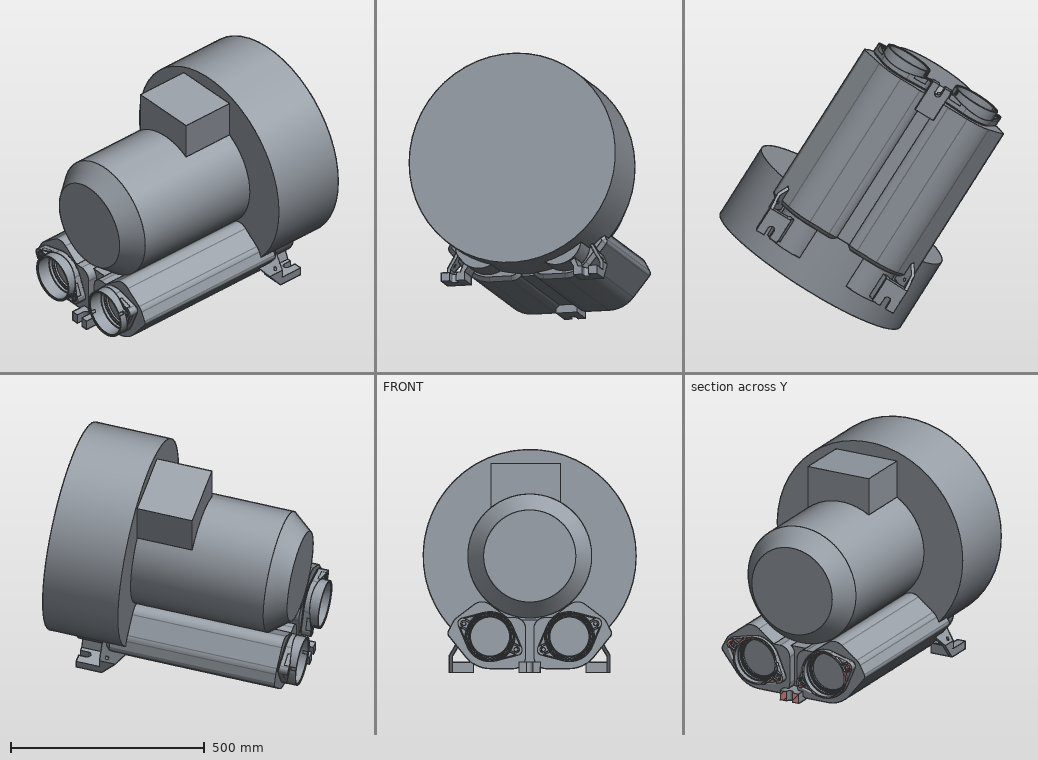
import cadquery as cq
import math


DRUM_RADIUS = 275.0
DRUM_BACK = 203.0

MOTOR_RADIUS = 160.0
MOTOR_CONE_LENGTH = 52.0
MOTOR_END_RADIUS = 119.0
MOTOR_FRONT = -409.0

BOX_LEFT = -100.0
BOX_RIGHT = 80.0
BOX_BOTTOM = 125.0
BOX_TOP = 238.5
BOX_FRONT = -148.0

HOUSING_FRONT = -402.0
HOUSING_BACK = 53.5
HOUSING_BACK_CHAMFER = 11.0
HOUSING_BOTTOM = -291.0
HOUSING_INNER_X = 10.8
PORT_X = 102.5
PORT_Z = -208.0
HOUSING_BASE_RADIUS = PORT_Z - HOUSING_BOTTOM
HOUSING_FLANK_ANGLE = 51.2
HOUSING_SIDE_CORNER = (213.5, -200.5)
HOUSING_SIDE_RADIUS = 11.5
HOUSING_SHOULDER = (194.0, -163.5)
HOUSING_SHOULDER_RADIUS = 36.0
HOUSING_CREST = (123.0, -109.5)
HOUSING_CREST_RADIUS = 34.0
HOUSING_INNER_TOP = -159.0
HOUSING_INNER_BASE_RADIUS = 32.0
HOUSING_INNER_TOP_RADIUS = 28.0
SADDLE_RADIUS = 161.0

WEB_FRONT = -376.0
WEB_BACK = HOUSING_BACK - HOUSING_BACK_CHAMFER
WEB_TOP = -165.0
WEB_BOTTOM = -280.0

STUB_RADIUS = 66.0
STUB_BACK = 142.0

FLANGE_BACK = -405.0
LUG_FRONT = -430.5
FLANGE_WAIST_FRONT = -418.0
FLANGE_SCOOP_HALF_WIDTH = 76.0
FLANGE_RADIUS = 64.5
FLANGE_ANGLE = 26.4
LUG_OFFSET = 77.0
LUG_RADIUS = 14.0
LUG_SLOT_WIDTH = 17.0
LUG_SLOT_INNER = 60.0
BOLT_DIAMETER = 10.0
BOLT_OFFSET = 75.0
FLANGE_WALL = 2.5
FLANGE_POCKET_DEPTH = 14.0
NECK_INSET = 4.0

PIPE_RADIUS = 63.7
PIPE_FRONT = -445.3
BORE_STEPS = ((59.0, -408.0), (56.0, -400.0), (53.0, -396.0), (50.5, -390.0))
BORE_LIP_CHAMFER = 1.8
KEYWAY_WIDTH = 8.0
KEYWAY_DEPTH = 2.5

FLOOR_Z = -300.83
FRONT_FOOT_TOP = -274.0
FRONT_FOOT_WIDTH = 55.5
FRONT_FOOT_FRONT = -442.5
FRONT_FOOT_BACK = -354.5
FOOT_SLOT_WIDTH = 17.0
FOOT_SLOT_LENGTH = 30.0
REAR_PAD_INNER_X = 145.0
REAR_PAD_OUTER_X = 207.7
REAR_PAD_BACK = 132.5
REAR_PAD_FRONT = 63.5
REAR_PAD_TOP = -279.0
BRACKET_BACK = 70.0
BRACKET_THICKNESS = 8.4
BRACKET_BEND_Z = -257.0
BRACKET_TOP_Z = -209.0
BRACKET_TILT = 30.0
BRACKET_EDGE_SLOPE = 0.83
BRACKET_HOLE_DIAMETER = 8.0
BRACKET_HOLE_Y = 51.0
BRACKET_HOLE_Z = -246.6
GUSSET_FOOT_X = 157.0
GUSSET_INNER_X = 115.0
GUSSET_TOP = -235.0
GUSSET_TILT = 22.0


def plane_at(y):
    """XZ sketch plane at the given Y, extruding towards -Y."""
    return cq.Workplane("XZ", origin=(0, y, 0))


def block(x_range, y_range, z_range):
    """Axis-aligned box between the given limits."""
    ranges = (x_range, y_range, z_range)
    size = [high - low for low, high in ranges]
    corner = tuple(low for low, high in ranges)
    return cq.Workplane("XY").box(*size, centered=False).translate(corner)


def cylinder(radius, back, front, x=0.0, z=0.0):
    """Cylinder along Y."""
    return plane_at(back).center(x, z).circle(radius).extrude(back - front)


def mirrored_pair(solid):
    return solid.union(solid.mirror("YZ"))


def rounded_outline(plane, corners):
    """Closed outline through (point, radius) corners, with tangent arcs at the corners."""
    count = len(corners)
    outline = None
    for index, (point, radius) in enumerate(corners):
        corner = cq.Vector(*point)
        before = (cq.Vector(*corners[index - 1][0]) - corner).normalized()
        after = (cq.Vector(*corners[(index + 1) % count][0]) - corner).normalized()
        half_angle = before.getAngle(after) / 2
        setback = radius / math.tan(half_angle)
        start = corner + before * setback
        outline = outline.lineTo(start.x, start.y) if outline else plane.moveTo(start.x, start.y)
        if radius > 0:
            bisector = (before + after).normalized()
            middle = corner + bisector * (radius / math.sin(half_angle) - radius)
            end = corner + after * setback
            outline = outline.threePointArc((middle.x, middle.y), (end.x, end.y))
    return outline.close()


def make_drum():
    return cylinder(DRUM_RADIUS, DRUM_BACK, 0)


def make_motor():
    cone_start = MOTOR_FRONT + MOTOR_CONE_LENGTH
    half_section = [
        (0, 0),
        (MOTOR_RADIUS, 0),
        (MOTOR_RADIUS, cone_start),
        (MOTOR_END_RADIUS, MOTOR_FRONT),
        (0, MOTOR_FRONT),
    ]
    return cq.Workplane("XY").polyline(half_section).close().revolve(360, (0, 0), (0, 1))


def make_terminal_box():
    return block((BOX_LEFT, BOX_RIGHT), (BOX_FRONT, 0), (BOX_BOTTOM, BOX_TOP))


def make_housing():
    """Right-hand silencer housing, hollowed along its top to clear the motor."""
    side_x, side_z = HOUSING_SIDE_CORNER
    crest_x, crest_z = HOUSING_CREST
    shoulder_x, shoulder_z = HOUSING_SHOULDER
    flank_run = (side_z - HOUSING_BOTTOM) / math.tan(math.radians(HOUSING_FLANK_ANGLE))
    crest_run_per_drop = (shoulder_x - crest_x) / (crest_z - shoulder_z)
    inner_slope_end_x = crest_x - (crest_z - HOUSING_INNER_TOP) * crest_run_per_drop
    corners = [
        ((HOUSING_INNER_X, HOUSING_BOTTOM), HOUSING_INNER_BASE_RADIUS),
        ((side_x - flank_run, HOUSING_BOTTOM), HOUSING_BASE_RADIUS),
        (HOUSING_SIDE_CORNER, HOUSING_SIDE_RADIUS),
        (HOUSING_SHOULDER, HOUSING_SHOULDER_RADIUS),
        (HOUSING_CREST, HOUSING_CREST_RADIUS),
        ((inner_slope_end_x, HOUSING_INNER_TOP), 0),
        ((HOUSING_INNER_X, HOUSING_INNER_TOP), HOUSING_INNER_TOP_RADIUS),
    ]
    housing = rounded_outline(plane_at(HOUSING_BACK), corners).extrude(HOUSING_BACK - HOUSING_FRONT)
    base_back_edge = cq.NearestToPointSelector((PORT_X, HOUSING_BACK, HOUSING_BOTTOM))
    housing = housing.edges(base_back_edge).chamfer(HOUSING_BACK_CHAMFER)
    return housing.cut(cylinder(SADDLE_RADIUS, HOUSING_BACK, HOUSING_FRONT))


def make_web():
    half_width = 2 * HOUSING_INNER_X
    return block((-half_width, half_width), (WEB_FRONT, WEB_BACK), (WEB_BOTTOM, WEB_TOP))


def make_stub():
    return cylinder(STUB_RADIUS, STUB_BACK, 0, PORT_X, PORT_Z)


def lug_outline(plane, inset=0.0):
    """Disc with two lugs along local X, all joined by common tangents."""
    body_radius = FLANGE_RADIUS - inset
    lug_radius = LUG_RADIUS - inset
    tangent_angle = math.acos((body_radius - lug_radius) / LUG_OFFSET)
    cos_t = math.cos(tangent_angle)
    sin_t = math.sin(tangent_angle)
    body_x, body_z = body_radius * cos_t, body_radius * sin_t
    lug_x, lug_z = LUG_OFFSET + lug_radius * cos_t, lug_radius * sin_t
    tip_x = LUG_OFFSET + lug_radius
    return (
        plane.moveTo(body_x, body_z)
        .threePointArc((0, body_radius), (-body_x, body_z))
        .lineTo(-lug_x, lug_z)
        .threePointArc((-tip_x, 0), (-lug_x, -lug_z))
        .lineTo(-body_x, -body_z)
        .threePointArc((0, -body_radius), (body_x, -body_z))
        .lineTo(lug_x, -lug_z)
        .threePointArc((tip_x, 0), (lug_x, lug_z))
        .close()
    )


def radial_slot(inner, outer, width, back, front):
    """Round-ended bars along local X on both sides, between two end centres."""
    centre = (inner + outer) / 2
    return (
        plane_at(back)
        .pushPoints([(centre, 0), (-centre, 0)])
        .slot2D(outer - inner + width, width)
        .extrude(back - front)
    )


def make_flange():
    """Flange and pipe stub about the Y axis, with the lugs along X."""
    flange = lug_outline(plane_at(FLANGE_BACK)).extrude(FLANGE_BACK - LUG_FRONT)
    neck = lug_outline(plane_at(HOUSING_FRONT), NECK_INSET).extrude(HOUSING_FRONT - FLANGE_BACK)

    scoop_depth = FLANGE_WAIST_FRONT - LUG_FRONT
    scoop_radius = (FLANGE_SCOOP_HALF_WIDTH**2 + scoop_depth**2) / (2 * scoop_depth)
    scoop_axis = cq.Workplane("XY", origin=(0, FLANGE_WAIST_FRONT - scoop_radius, 0))
    scoop = scoop_axis.circle(scoop_radius).extrude(2 * FLANGE_RADIUS, both=True)
    flange = flange.cut(scoop)

    pocket_floor = LUG_FRONT + FLANGE_POCKET_DEPTH
    pocket = lug_outline(plane_at(pocket_floor), FLANGE_WALL).extrude(FLANGE_POCKET_DEPTH)
    pocket = pocket.cut(cylinder(FLANGE_RADIUS, pocket_floor, LUG_FRONT))
    pocket = pocket.cut(radial_slot(0, LUG_OFFSET, 2 * LUG_RADIUS - FLANGE_WALL, pocket_floor, LUG_FRONT))
    flange = flange.cut(pocket)
    flange = flange.cut(radial_slot(LUG_SLOT_INNER, BOLT_OFFSET, LUG_SLOT_WIDTH, pocket_floor, LUG_FRONT))

    bolts = (
        plane_at(FLANGE_BACK)
        .pushPoints([(BOLT_OFFSET, 0), (-BOLT_OFFSET, 0)])
        .circle(BOLT_DIAMETER / 2)
        .extrude(FLANGE_BACK - LUG_FRONT)
    )
    pipe = cylinder(PIPE_RADIUS, FLANGE_BACK, PIPE_FRONT)
    flange = flange.union(neck).union(bolts).union(pipe)

    for side in (-1, 1):
        keyway_x = sorted((side * (PIPE_RADIUS - KEYWAY_DEPTH), side * PIPE_RADIUS))
        flange = flange.cut(
            block(keyway_x, (PIPE_FRONT, LUG_FRONT), (-KEYWAY_WIDTH / 2, KEYWAY_WIDTH / 2))
        )
    return flange


def make_bore():
    """Stepped bore with a bevelled lip, running through the pipe stub into the housing."""
    lip_radius = BORE_STEPS[0][0]
    bore = plane_at(PIPE_FRONT + BORE_LIP_CHAMFER).center(PORT_X, PORT_Z).circle(lip_radius)
    bore = bore.workplane(offset=BORE_LIP_CHAMFER).circle(lip_radius + BORE_LIP_CHAMFER).loft()
    for radius, floor in BORE_STEPS:
        bore = bore.union(cylinder(radius, floor, PIPE_FRONT, PORT_X, PORT_Z))
    return bore


def place_flange(flange):
    """Turn the flange so its outer lug points up, and move it to the right-hand port."""
    return flange.rotate((0, 0, 0), (0, 1, 0), -FLANGE_ANGLE).translate((PORT_X, 0, PORT_Z))


def foot_slot(x, mouth_y, inward):
    """Open round-ended slot running from mouth_y in the inward direction along Y."""
    end_y = mouth_y + inward * (FOOT_SLOT_LENGTH - FOOT_SLOT_WIDTH / 2)
    y_range = sorted((mouth_y, end_y))
    half_width = FOOT_SLOT_WIDTH / 2
    straight = block((x - half_width, x + half_width), y_range, (FLOOR_Z, FRONT_FOOT_TOP))
    height = FRONT_FOOT_TOP - FLOOR_Z
    end = cq.Workplane("XY", origin=(x, end_y, FLOOR_Z)).circle(half_width).extrude(height)
    return straight.union(end)


def make_front_foot():
    half_width = FRONT_FOOT_WIDTH / 2
    foot = block(
        (-half_width, half_width), (FRONT_FOOT_FRONT, FRONT_FOOT_BACK), (FLOOR_Z, FRONT_FOOT_TOP)
    )
    return foot.cut(foot_slot(0, FRONT_FOOT_FRONT, 1))


def make_bracket():
    """Bent plate that rises from the rear pad and leans inwards to the drum."""
    lean = math.tan(math.radians(BRACKET_TILT))
    top_shift = (BRACKET_TOP_Z - BRACKET_BEND_Z) * lean
    inner_x = REAR_PAD_OUTER_X - BRACKET_THICKNESS
    inner_bend_z = BRACKET_BEND_Z - BRACKET_THICKNESS * math.tan(math.radians(BRACKET_TILT / 2))
    inner_top_x = inner_x - (BRACKET_TOP_Z - inner_bend_z) * lean
    section = [
        (REAR_PAD_OUTER_X, FLOOR_Z),
        (REAR_PAD_OUTER_X, BRACKET_BEND_Z),
        (REAR_PAD_OUTER_X - top_shift, BRACKET_TOP_Z),
        (inner_top_x, BRACKET_TOP_Z),
        (inner_x, inner_bend_z),
        (inner_x, FLOOR_Z),
    ]
    front_top = REAR_PAD_FRONT - (BRACKET_TOP_Z - FLOOR_Z) * BRACKET_EDGE_SLOPE
    plate = plane_at(BRACKET_BACK).polyline(section).close().extrude(BRACKET_BACK - front_top)
    side_outline = [
        (BRACKET_BACK, FLOOR_Z),
        (BRACKET_BACK, BRACKET_TOP_Z),
        (front_top, BRACKET_TOP_Z),
        (REAR_PAD_FRONT, FLOOR_Z),
    ]
    side_envelope = cq.Workplane("YZ").polyline(side_outline).close().extrude(REAR_PAD_OUTER_X)
    hole = (
        cq.Workplane("YZ", origin=(inner_top_x, BRACKET_HOLE_Y, BRACKET_HOLE_Z))
        .circle(BRACKET_HOLE_DIAMETER / 2)
        .extrude(REAR_PAD_OUTER_X - inner_top_x)
    )
    return plate.intersect(side_envelope).cut(hole)


def make_rear_foot():
    """Right-hand rear foot: slotted pad, front lip, bent bracket and inner gusset."""
    pad_x = (REAR_PAD_INNER_X, REAR_PAD_OUTER_X)
    lip_x = (REAR_PAD_INNER_X, REAR_PAD_OUTER_X - BRACKET_THICKNESS)
    slot_x = (REAR_PAD_INNER_X + REAR_PAD_OUTER_X) / 2
    pad = block(pad_x, (REAR_PAD_FRONT, REAR_PAD_BACK), (FLOOR_Z, REAR_PAD_TOP))
    pad = pad.cut(foot_slot(slot_x, REAR_PAD_BACK, -1))
    lip = block(lip_x, (REAR_PAD_FRONT, BRACKET_BACK), (FLOOR_Z, FRONT_FOOT_TOP))
    lean = math.tan(math.radians(GUSSET_TILT))
    gusset_section = [
        (GUSSET_INNER_X, GUSSET_TOP),
        (GUSSET_FOOT_X - (GUSSET_TOP - REAR_PAD_TOP) * lean, GUSSET_TOP),
        (GUSSET_FOOT_X, REAR_PAD_TOP),
        (REAR_PAD_INNER_X, REAR_PAD_TOP),
    ]
    gusset = plane_at(REAR_PAD_BACK).polyline(gusset_section).close()
    gusset = gusset.extrude(REAR_PAD_BACK - REAR_PAD_FRONT)
    return pad.union(lip).union(gusset).union(make_bracket())


right_side = (
    make_housing()
    .union(make_stub())
    .union(place_flange(make_flange()))
    .union(make_rear_foot())
    .cut(make_bore())
)

result = (
    make_drum()
    .union(make_motor())
    .union(make_terminal_box())
    .union(mirrored_pair(right_side))
    .union(make_web())
    .union(make_front_foot())
)